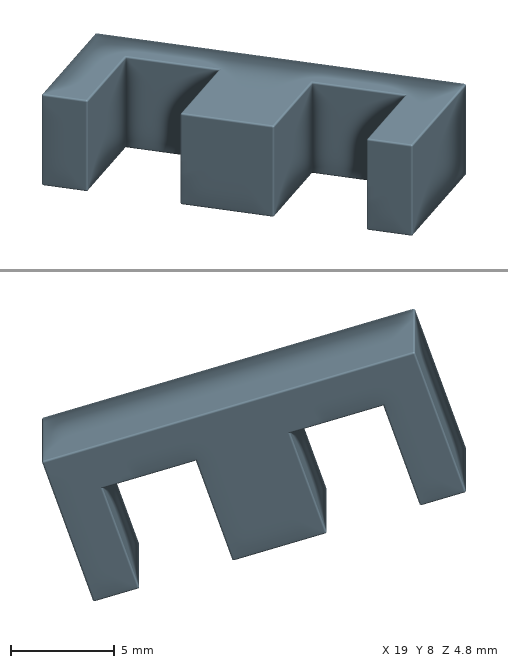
import cadquery as cq

length = 19.0
depth = 8.0
height = 4.8

center_leg_width = 4.8
outer_leg_width = 2.35
window_depth = 5.7
window_width = (length - center_leg_width - 2 * outer_leg_width) / 2
window_offset = (center_leg_width + window_width) / 2
window_center_y = (window_depth - depth) / 2
window_floor_y = window_depth - depth / 2

edge_radius = 0.1

core = cq.Workplane("XY").box(length, depth, height)
for side in (-1, 1):
    window = (
        cq.Workplane("XY")
        .box(window_width, window_depth, height)
        .translate((side * window_offset, window_center_y, 0))
    )
    core = core.cut(window)

upright_edges = cq.selectors.ParallelDirSelector(cq.Vector(0, 0, 1))
window_floor_zone = cq.selectors.BoxSelector(
    (-length / 2, window_floor_y - edge_radius, -height / 2),
    (length / 2, window_floor_y + edge_radius, height / 2),
)
sharp_corners = cq.selectors.AndSelector(upright_edges, window_floor_zone)
result = core.edges(cq.selectors.InverseSelector(sharp_corners)).fillet(edge_radius)